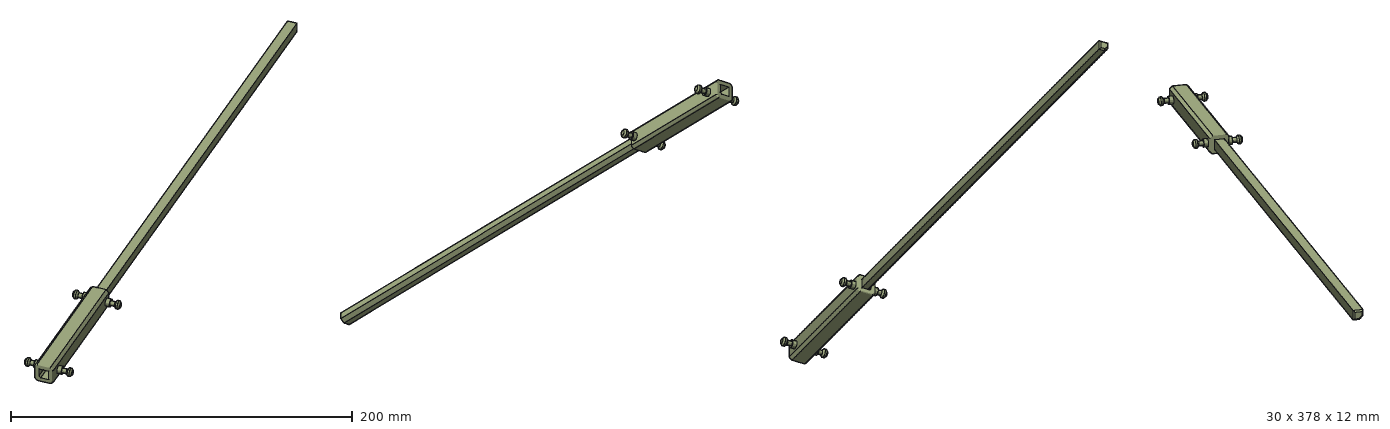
import cadquery as cq

TOTAL_LENGTH = 378.0
SCREW_SPAN = 30.0
FRONT_Y = -TOTAL_LENGTH / 2

HOUSING_WIDTH = 12.0
HOUSING_LENGTH = 85.0
HOUSING_CORNER_DIAMETER = 14.7
HOUSING_END_FILLET = 0.95
BORE_CORNER_CHAMFER = 1.0

ROD_WIDTH = 6.0
ROD_RECESS = 26.5
ROD_CORNER_CHAMFER = 2.3
ROD_END_CHAMFER = 0.95

HEAD_RADIUS = 2.5
HEAD_LENGTH = 3.5
HEAD_CHAMFER = 1.0
NECK_RADIUS = 1.5
COLLAR_RADIUS = 2.45
COLLAR_LENGTH = 2.5
FRONT_SCREW_SETBACK = 8.0
REAR_SCREW_SETBACK = 4.0


def make_bar(width, start_y, end_y):
    """Square bar along Y, centred on the Y axis."""
    length = end_y - start_y
    return cq.Workplane("XY").box(width, length, width).translate((0, start_y + length / 2, 0))


def bevel_lower_left(bar, size):
    """Chamfer the long edge of a bar at its -X, -Z corner."""
    return bar.edges("|Y and <X and <Z").chamfer(size)


def make_housing():
    rear_y = FRONT_Y + HOUSING_LENGTH
    corner_cylinder = (
        cq.Workplane("XZ", origin=(0, FRONT_Y, 0))
        .circle(HOUSING_CORNER_DIAMETER / 2)
        .extrude(-HOUSING_LENGTH)
    )
    body = make_bar(HOUSING_WIDTH, FRONT_Y, rear_y).intersect(corner_cylinder)
    body = body.faces("<Y or >Y").edges().fillet(HOUSING_END_FILLET)
    bore = bevel_lower_left(make_bar(ROD_WIDTH, FRONT_Y, rear_y), BORE_CORNER_CHAMFER)
    return body.cut(bore)


def make_rod():
    blank = make_bar(ROD_WIDTH, FRONT_Y + ROD_RECESS, FRONT_Y + TOTAL_LENGTH)
    rod = bevel_lower_left(blank, ROD_CORNER_CHAMFER)
    return rod.faces("<Y or >Y").chamfer(ROD_END_CHAMFER)


def turned(radius, start, end):
    """Cylinder along +X between two X positions."""
    return cq.Workplane("YZ", origin=(start, 0, 0)).circle(radius).extrude(end - start)


def make_screw(side, y):
    """Screw seated on a side flat of the housing; side is -1 for -X and +1 for +X."""
    seat = HOUSING_WIDTH / 2
    tip = SCREW_SPAN / 2
    head_start = tip - HEAD_LENGTH
    head = turned(HEAD_RADIUS, head_start, tip).edges().chamfer(HEAD_CHAMFER)
    collar = turned(COLLAR_RADIUS, seat, seat + COLLAR_LENGTH)
    neck = turned(NECK_RADIUS, seat, head_start)
    screw = collar.union(neck).union(head)
    if side < 0:
        screw = screw.mirror("YZ")
    return screw.translate((0, y, 0))


front_screw_y = FRONT_Y + FRONT_SCREW_SETBACK
rear_screw_y = FRONT_Y + HOUSING_LENGTH - REAR_SCREW_SETBACK

housing = make_housing()
rod = make_rod()
screws = [make_screw(side, y) for y in (front_screw_y, rear_screw_y) for side in (-1, 1)]

result = cq.Compound.makeCompound([housing.val(), rod.val(), *[screw.val() for screw in screws]])